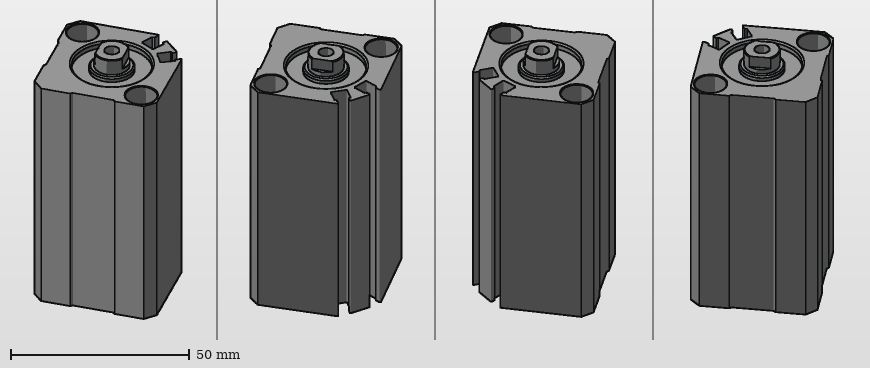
import cadquery as cq
import math

total_height = 76.0
rod_projection = 4.5
body_height = total_height - rod_projection
body_width = 36.0
half_width = body_width / 2
corner_chamfer = 3.0
slot_corner_chamfer = 9.2

channel_half_width = 6.5
channel_depth = 0.5
channel_fillet = 0.3

slot_angles = (30, 60)
slot_floor_distance = 13.45
slot_half_width = 2.35
slot_wall_end = 17.5
neck_half_width = 1.75
neck_start = 17.8
slot_reach = body_width
slot_floor_fillet = 0.3
lip_fillet = 0.3

mount_offset = 12.7
mount_hole_diameter = 4.9
mount_hole_chamfer = 0.2
counterbore_diameter = 9.0
counterbore_depth = 7.0
counterbore_chamfer = 0.2

recess_radius = 11.3
recess_depth = 2.0
recess_chamfer = 0.5
collar_radius = 6.45
collar_height = 1.5
collar_chamfer = 0.45
recess_floor = body_height - recess_depth

rod_diameter = 10.1
rod_radius = rod_diameter / 2
rod_chamfer = 0.2
flat_distance = 4.0
flat_height = 3.5
rod_hole_diameter = 4.25
rod_hole_depth = 5.3


def nearest_to(x, y):
    """Selector of the upright edge at x, y."""
    return cq.selectors.NearestToPointSelector((x, y, body_height / 2))


def make_profile_bar():
    """Chamfered square bar with the two shallow channels, rounded where their flanks meet the floor."""
    w = half_width
    c = corner_chamfer
    channel_floor_half = channel_half_width - channel_depth
    channel_floor = -w + channel_depth
    outline = [
        (-w + c, -w),
        (-channel_half_width, -w),
        (-channel_floor_half, channel_floor),
        (channel_floor_half, channel_floor),
        (channel_half_width, -w),
        (w - c, -w),
        (w, -w + c),
        (w, w - slot_corner_chamfer),
        (w - slot_corner_chamfer, w),
        (-w + c, w),
        (-w, w - c),
        (-w, channel_half_width),
        (channel_floor, channel_floor_half),
        (channel_floor, -channel_floor_half),
        (-w, -channel_half_width),
        (-w, -w + c),
    ]
    bar = cq.Workplane("XY").polyline(outline).close().extrude(body_height)
    for end in (-channel_floor_half, channel_floor_half):
        for x, y in ((end, channel_floor), (channel_floor, end)):
            bar = bar.edges("|Z").edges(nearest_to(x, y)).fillet(channel_fillet)
    return bar


def make_slot_cutter(angle):
    """Undercut slot along +X with rounded floor corners, turned about Z to its angle."""
    half_outline = [
        (slot_floor_distance, slot_half_width),
        (slot_wall_end, slot_half_width),
        (neck_start, neck_half_width),
        (slot_reach, neck_half_width),
    ]
    mirrored = [(x, -y) for x, y in reversed(half_outline)]
    cutter = cq.Workplane("XY").polyline(half_outline + mirrored).close().extrude(body_height)
    cutter = cutter.faces("<X").edges("|Z").fillet(slot_floor_fillet)
    return cutter.rotate((0, 0, 0), (0, 0, 1), angle)


def lip_tip_points():
    """Points where the neck walls of the slots leave the bar."""
    points = []
    for angle in slot_angles:
        cos_a = math.cos(math.radians(angle))
        sin_a = math.sin(math.radians(angle))
        for side in (-neck_half_width, neck_half_width):
            to_x_face = (half_width + side * sin_a) / cos_a
            to_y_face = (half_width - side * cos_a) / sin_a
            diagonal = body_width - slot_corner_chamfer
            to_chamfer = (diagonal + side * (sin_a - cos_a)) / (cos_a + sin_a)
            reach = min(to_x_face, to_y_face, to_chamfer)
            points.append((reach * cos_a - side * sin_a, reach * sin_a + side * cos_a))
    return points


def make_mount_cutter(x, y):
    """Through hole with a counterbore; the rims of both are chamfered."""
    hole_radius = mount_hole_diameter / 2
    bore_radius = counterbore_diameter / 2
    bore_floor = body_height - counterbore_depth
    rim_radius = bore_radius + counterbore_chamfer
    half_section = [
        (0, 0),
        (hole_radius, 0),
        (hole_radius, bore_floor - mount_hole_chamfer),
        (hole_radius + mount_hole_chamfer, bore_floor),
        (bore_radius, bore_floor),
        (bore_radius, body_height - counterbore_chamfer),
        (rim_radius, body_height),
        (0, body_height),
    ]
    cutter = cq.Workplane("XZ").polyline(half_section).close().revolve()
    return cutter.translate((x, y, 0))


def make_recess_cutter():
    """Chamfered ring-shaped recess that leaves a chamfered collar around the rod."""
    half_section = [
        (0, recess_floor),
        (recess_radius, recess_floor),
        (recess_radius, body_height - recess_chamfer),
        (recess_radius + recess_chamfer, body_height),
        (0, body_height),
    ]
    recess = cq.Workplane("XZ").polyline(half_section).close().revolve()
    collar = cq.Workplane("XY", origin=(0, 0, recess_floor)).circle(collar_radius).extrude(collar_height)
    collar = collar.faces(">Z").chamfer(collar_chamfer)
    bore = cq.Workplane("XY", origin=(0, 0, recess_floor)).circle(rod_radius).extrude(collar_height)
    return recess.cut(collar.cut(bore))


def make_housing():
    """Slotted bar with rounded slot lips, mounting holes and the rod recess."""
    housing = make_profile_bar()
    for angle in slot_angles:
        housing = housing.cut(make_slot_cutter(angle))
    for x, y in lip_tip_points():
        housing = housing.edges("|Z").edges(nearest_to(x, y)).fillet(lip_fillet)
    for side in (-1, 1):
        housing = housing.cut(make_mount_cutter(side * mount_offset, -side * mount_offset))
    return housing.cut(make_recess_cutter())


def make_rod():
    """Rod end standing on the recess floor inside the collar."""
    rod = cq.Workplane("XY", origin=(0, 0, recess_floor)).circle(rod_radius)
    rod = rod.extrude(total_height - recess_floor)
    rod = rod.faces(">Z").chamfer(rod_chamfer)
    flat_length = 2 * rod_diameter
    flat_zone = cq.Workplane("XY", origin=(0, 0, total_height - flat_height))
    outside = flat_zone.rect(flat_length, flat_length).extrude(flat_height)
    kept = flat_zone.rect(2 * flat_distance, flat_length).extrude(flat_height)
    rod = rod.cut(outside.cut(kept))
    return rod.faces(">Z").workplane(origin=(0, 0, total_height)).hole(rod_hole_diameter, rod_hole_depth)


housing = make_housing()
rod = make_rod()
result = cq.Compound.makeCompound([housing.val(), rod.val()])